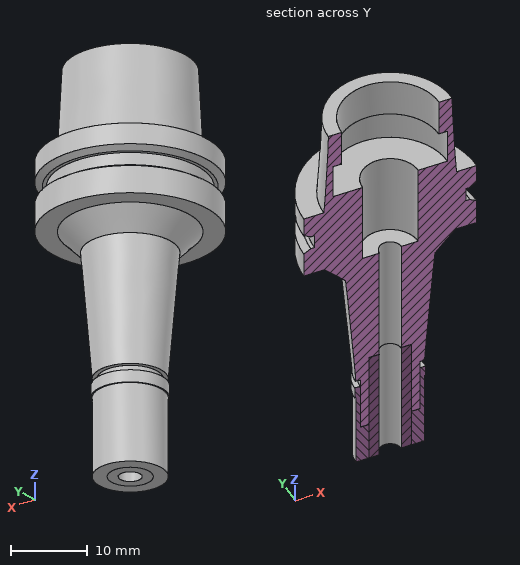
import cadquery as cq

TOTAL_HEIGHT = 58.0
FLANGE_TOP = 45.0
FLANGE_BOTTOM = 35.05
CONE_BOTTOM = 32.0
SHANK_BOTTOM = 14.0
COLLAR_TOP = 13.0
COLLAR_HEIGHT = 1.75

TAPER_RATIO = 10.0
TAPER_TOP_DIAMETER = 17.9
TAPER_TOP_RADIUS = TAPER_TOP_DIAMETER / 2
TAPER_BASE_RADIUS = TAPER_TOP_RADIUS + (TOTAL_HEIGHT - FLANGE_TOP) / (2 * TAPER_RATIO)
FLANGE_DIAMETER = 25.0
FLANGE_RADIUS = FLANGE_DIAMETER / 2
CONE_BOTTOM_RADIUS = 6.5
CONE_TOP_RADIUS = CONE_BOTTOM_RADIUS + (FLANGE_BOTTOM - CONE_BOTTOM)
SHANK_BOTTOM_RADIUS = 5.0
NECK_RADIUS = 4.35

GROOVE_RADIUS = 10.95
GROOVE_LIP_RADIUS = 11.5
GROOVE_TOP = 41.45
GROOVE_BOTTOM = 39.5
GROOVE_BEVEL_HEIGHT = 0.6

MOUTH_RADIUS = 7.0
MOUTH_DEPTH = 5.55
CHAMBER_RADIUS = 8.25
CHAMBER_DEPTH = 10.7
BORE_RADIUS = 4.0
BORE_BOTTOM = FLANGE_BOTTOM

NUT_RADIUS = 5.0
COLLAR_RADIUS = 5.15
NECK_BOTTOM = 5.8
COLLET_RADIUS = 3.0
COLLET_TOP = 17.4
THROUGH_HOLE_RADIUS = 1.55


def cylinder(radius, bottom, top):
    """Solid cylinder on the Z axis between two heights."""
    return cq.Workplane("XY").workplane(offset=bottom).circle(radius).extrude(top - bottom)


def make_holder():
    """Taper, grooved flange, shank and neck, with the stepped bore."""
    outline = [
        (0, NECK_BOTTOM),
        (NECK_RADIUS, NECK_BOTTOM),
        (NECK_RADIUS, SHANK_BOTTOM),
        (SHANK_BOTTOM_RADIUS, SHANK_BOTTOM),
        (CONE_BOTTOM_RADIUS, CONE_BOTTOM),
        (CONE_TOP_RADIUS, FLANGE_BOTTOM),
        (FLANGE_RADIUS, FLANGE_BOTTOM),
        (FLANGE_RADIUS, GROOVE_BOTTOM - GROOVE_BEVEL_HEIGHT),
        (GROOVE_LIP_RADIUS, GROOVE_BOTTOM),
        (GROOVE_RADIUS, GROOVE_BOTTOM),
        (GROOVE_RADIUS, GROOVE_TOP),
        (GROOVE_LIP_RADIUS, GROOVE_TOP),
        (FLANGE_RADIUS, GROOVE_TOP + GROOVE_BEVEL_HEIGHT),
        (FLANGE_RADIUS, FLANGE_TOP),
        (TAPER_BASE_RADIUS, FLANGE_TOP),
        (TAPER_TOP_RADIUS, TOTAL_HEIGHT),
        (0, TOTAL_HEIGHT),
    ]
    body = cq.Workplane("YZ").polyline(outline).close().revolve(360, (0, 0), (0, 1))
    mouth_bottom = TOTAL_HEIGHT - MOUTH_DEPTH
    chamber_bottom = TOTAL_HEIGHT - CHAMBER_DEPTH
    return (
        body
        .cut(cylinder(MOUTH_RADIUS, mouth_bottom, TOTAL_HEIGHT))
        .cut(cylinder(CHAMBER_RADIUS, chamber_bottom, mouth_bottom))
        .cut(cylinder(BORE_RADIUS, BORE_BOTTOM, chamber_bottom))
        .cut(cylinder(THROUGH_HOLE_RADIUS, COLLET_TOP, BORE_BOTTOM))
        .cut(cylinder(COLLET_RADIUS, NECK_BOTTOM, COLLET_TOP))
    )


def make_nut():
    """Collared sleeve, screwed over the neck and around the collet."""
    sleeve = cylinder(NUT_RADIUS, 0, COLLAR_TOP)
    collar = cylinder(COLLAR_RADIUS, COLLAR_TOP - COLLAR_HEIGHT, COLLAR_TOP)
    return (
        sleeve.union(collar)
        .cut(cylinder(NECK_RADIUS, NECK_BOTTOM, COLLAR_TOP))
        .cut(cylinder(COLLET_RADIUS, 0, NECK_BOTTOM))
    )


def make_collet():
    """Plain tube that runs from the nut face up into the neck."""
    return cylinder(COLLET_RADIUS, 0, COLLET_TOP).cut(cylinder(THROUGH_HOLE_RADIUS, 0, COLLET_TOP))


holder = make_holder()
nut = make_nut()
collet = make_collet()

result = cq.Compound.makeCompound([holder.val(), nut.val(), collet.val()])